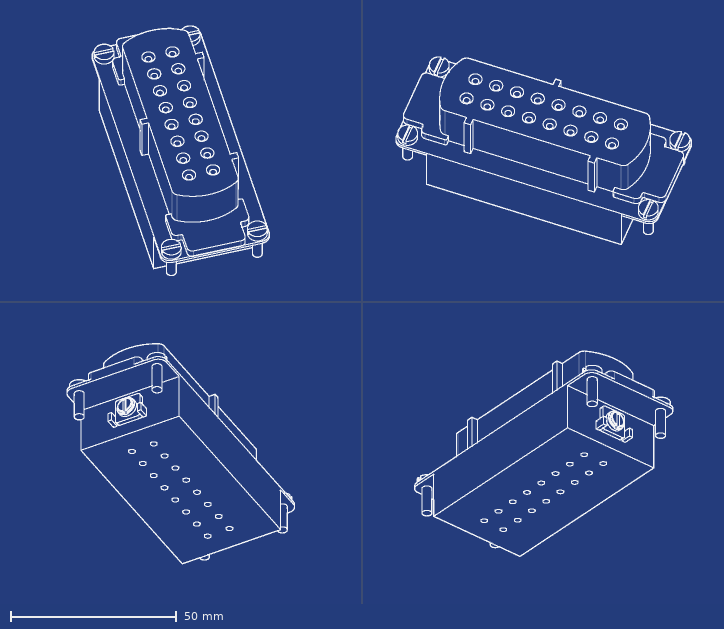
import cadquery as cq
import math


OVERALL_LENGTH = 84.5
OVERALL_WIDTH = 34.0
OVERALL_HEIGHT = 31.5
PAD_OVERHANG = 0.2

HOUSING_LENGTH = 62.9
FLANGE_LENGTH = OVERALL_LENGTH - PAD_OVERHANG
FLANGE_BOTTOM = 15.3
FLANGE_THICKNESS = 1.0
FLANGE_CORNER_RADIUS = 2.9
FLANGE_TOP = FLANGE_BOTTOM + FLANGE_THICKNESS

PAD_HEIGHT = 2.6
PAD_NECK_WIDTH = 18.1
PAD_WIDE_WIDTH = 24.2
PAD_INNER_X = 26.8
PAD_SHOULDER_X = 35.3
PAD_OUTER_RADIUS = 1.6
PAD_NOTCH_RADIUS = 0.5
PAD_INNER_RADIUS = 0.6

BLOCK_LENGTH = 65.4
BLOCK_WIDTH = 20.6
BLOCK_CENTRE_X = -0.4
BLOCK_HEIGHT = OVERALL_HEIGHT - FLANGE_TOP
BLOCK_END_RADIUS = 18.6
BLOCK_CORNER_RADIUS = 2.1

RIB_REACH_Y = 12.4
FRONT_RIB_X = 0.0
FRONT_RIB_WIDTH = 1.9
BACK_RIB_X = 19.9
BACK_RIB_WIDTH = 2.1

CONTACTS_PER_ROW = 8
CONTACT_ROW_LENGTH = 46.9
CONTACT_PITCH = CONTACT_ROW_LENGTH / (CONTACTS_PER_ROW - 1)
CONTACT_ROW_SPACING = 7.5
CONTACT_DIAMETER = 2.0
CONTACT_MOUTH_DIAMETER = 4.0
CONTACT_MOUTH_DEPTH = 1.0

SCREW_X = 38.8
SCREW_Y = 13.4
SCREW_HEAD_DIAMETER = 6.0
SCREW_HEAD_HEIGHT = 2.1
SCREW_SHANK_DIAMETER = 3.0
SCREW_TIP_Z = 6.4
SCREW_SLOT_WIDTH = 1.0
SCREW_SLOT_DEPTH = 1.2

TERMINAL_Z = 8.7
TERMINAL_REACH = 3.5
PLATE_SIZE = 8.5
PLATE_THICKNESS = 1.4
PLATE_CORNER_RADIUS = 0.85
EARTH_HEAD_DIAMETER = 6.1
EARTH_HEAD_REACH = 2.7
EARTH_CAP_DIAMETER = 4.8
EARTH_SCREW_CHAMFER = 0.2
LUG_GAP = 0.2
LUG_WIDTH = 1.3
LUG_HEIGHT = 2.9


def box(x_range, y_range, z_range):
    """Axis-aligned box between three pairs of limits."""
    (x0, x1), (y0, y1), (z0, z1) = x_range, y_range, z_range
    return cq.Workplane("XY").box(x1 - x0, y1 - y0, z1 - z0, centered=False).translate((x0, y0, z0))


def cylinder(x, y, z, diameter, height):
    """Upright cylinder standing on height z."""
    return cq.Workplane("XY", origin=(x, y, z)).circle(diameter / 2).extrude(height)


def housing():
    """Plain rectangular body reaching up to the top of the flange."""
    return cq.Workplane("XY").box(HOUSING_LENGTH, OVERALL_WIDTH, FLANGE_TOP, centered=(True, True, False))


def flange():
    """Thin plate with rounded corners, longer than the housing."""
    plate = cq.Workplane("XY", origin=(0, 0, FLANGE_BOTTOM)).rect(FLANGE_LENGTH, OVERALL_WIDTH)
    return plate.extrude(FLANGE_THICKNESS).edges("|Z").fillet(FLANGE_CORNER_RADIUS)


def round_pad_corners(body, x, y, radius):
    """Fillet the two upright pad edges at (x, -y) and (x, y)."""
    for corner_y in (-y, y):
        corner = cq.selectors.NearestToPointSelector((x, corner_y, FLANGE_TOP + PAD_HEIGHT / 2))
        body = body.edges("|Z").edges(corner).fillet(radius)
    return body


def pad(side, outer_x):
    """T-shaped pad at one end; side is -1 or 1 along X."""
    neck_y = PAD_NECK_WIDTH / 2
    wide_y = PAD_WIDE_WIDTH / 2
    inner_x = side * PAD_INNER_X
    shoulder_x = side * PAD_SHOULDER_X
    end_x = side * outer_x
    outline = [
        (inner_x, -wide_y),
        (shoulder_x, -wide_y),
        (shoulder_x, -neck_y),
        (end_x, -neck_y),
        (end_x, neck_y),
        (shoulder_x, neck_y),
        (shoulder_x, wide_y),
        (inner_x, wide_y),
    ]
    body = cq.Workplane("XY", origin=(0, 0, FLANGE_TOP)).polyline(outline).close().extrude(PAD_HEIGHT)
    body = round_pad_corners(body, inner_x, wide_y, PAD_INNER_RADIUS)
    body = round_pad_corners(body, shoulder_x, wide_y, PAD_OUTER_RADIUS)
    body = round_pad_corners(body, shoulder_x, neck_y, PAD_NOTCH_RADIUS)
    return round_pad_corners(body, end_x, neck_y, PAD_OUTER_RADIUS)


def contact_block():
    """Block with straight sides and ends bowed outwards."""
    half_width = BLOCK_WIDTH / 2
    tip_x = BLOCK_LENGTH / 2
    bow_depth = BLOCK_END_RADIUS - math.sqrt(BLOCK_END_RADIUS**2 - half_width**2)
    corner_x = tip_x - bow_depth
    outline = (
        cq.Workplane("XY", origin=(BLOCK_CENTRE_X, 0, FLANGE_TOP))
        .moveTo(-corner_x, -half_width)
        .lineTo(corner_x, -half_width)
        .threePointArc((tip_x, 0), (corner_x, half_width))
        .lineTo(-corner_x, half_width)
        .threePointArc((-tip_x, 0), (-corner_x, -half_width))
        .close()
    )
    return outline.extrude(BLOCK_HEIGHT).edges("|Z").fillet(BLOCK_CORNER_RADIUS)


def rib(x, width, side):
    """Full-height coding rib on one long side; side is -1 or 1 along Y."""
    y_range = sorted((0, side * RIB_REACH_Y))
    return box((x - width / 2, x + width / 2), y_range, (FLANGE_TOP, OVERALL_HEIGHT))


def contact_holes():
    """Through holes with conical mouths, in two rows."""
    hole_radius = CONTACT_DIAMETER / 2
    mouth_radius = CONTACT_MOUTH_DIAMETER / 2
    mouth_bottom = OVERALL_HEIGHT - CONTACT_MOUTH_DEPTH
    profile = [
        (0, 0),
        (hole_radius, 0),
        (hole_radius, mouth_bottom),
        (mouth_radius, OVERALL_HEIGHT),
        (0, OVERALL_HEIGHT),
    ]
    cutter = cq.Workplane("XZ").polyline(profile).close().revolve(360, (0, 0), (0, 1)).val()
    grid = cq.Workplane("XY").rarray(CONTACT_PITCH, CONTACT_ROW_SPACING, CONTACTS_PER_ROW, 2)
    return grid.eachpoint(lambda place: cutter.located(place))


def mounting_screw(x, y):
    """Slotted screw through the flange, with the slot along Y."""
    head_top = FLANGE_TOP + SCREW_HEAD_HEIGHT
    head = cylinder(x, y, FLANGE_TOP, SCREW_HEAD_DIAMETER, SCREW_HEAD_HEIGHT)
    shank = cylinder(x, y, SCREW_TIP_Z, SCREW_SHANK_DIAMETER, FLANGE_TOP - SCREW_TIP_Z)
    slot = box(
        (x - SCREW_SLOT_WIDTH / 2, x + SCREW_SLOT_WIDTH / 2),
        (y - SCREW_HEAD_DIAMETER / 2, y + SCREW_HEAD_DIAMETER / 2),
        (head_top - SCREW_SLOT_DEPTH, head_top),
    )
    return head.cut(slot).union(shank)


def earth_terminal():
    """Rounded plate, stepped slotted screw and two lugs on the -X end face."""
    face_x = -HOUSING_LENGTH / 2
    tip_x = face_x - TERMINAL_REACH
    face = cq.Workplane("YZ", origin=(face_x, 0, TERMINAL_Z))
    plate = face.rect(PLATE_SIZE, PLATE_SIZE).extrude(-PLATE_THICKNESS)
    plate = plate.edges("|X").fillet(PLATE_CORNER_RADIUS)

    head = face.circle(EARTH_HEAD_DIAMETER / 2).extrude(-EARTH_HEAD_REACH)
    head = head.faces("<X").chamfer(EARTH_SCREW_CHAMFER)
    cap = face.circle(EARTH_CAP_DIAMETER / 2).extrude(-TERMINAL_REACH)
    cap = cap.faces("<X").chamfer(EARTH_SCREW_CHAMFER)
    slot = box(
        (tip_x, tip_x + SCREW_SLOT_DEPTH),
        (-SCREW_SLOT_WIDTH / 2, SCREW_SLOT_WIDTH / 2),
        (TERMINAL_Z - EARTH_HEAD_DIAMETER / 2, TERMINAL_Z + EARTH_HEAD_DIAMETER / 2),
    )
    terminal = plate.union(head).union(cap).cut(slot)

    lug_inner_y = PLATE_SIZE / 2 + LUG_GAP
    lug_outer_y = lug_inner_y + LUG_WIDTH
    lug_bottom = TERMINAL_Z - PLATE_SIZE / 2
    for side in (-1, 1):
        y_range = sorted((side * lug_inner_y, side * lug_outer_y))
        terminal = terminal.union(box((tip_x, face_x), y_range, (lug_bottom, lug_bottom + LUG_HEIGHT)))
    return terminal


result = housing().union(flange())
result = result.union(pad(-1, FLANGE_LENGTH / 2))
result = result.union(pad(1, FLANGE_LENGTH / 2 + PAD_OVERHANG))
result = result.union(contact_block())
result = result.union(rib(FRONT_RIB_X, FRONT_RIB_WIDTH, -1))
for rib_side in (-1, 1):
    result = result.union(rib(rib_side * BACK_RIB_X, BACK_RIB_WIDTH, 1))
for screw_x in (-SCREW_X, SCREW_X):
    for screw_y in (-SCREW_Y, SCREW_Y):
        result = result.union(mounting_screw(screw_x, screw_y))
result = result.union(earth_terminal())
result = result.cut(contact_holes())